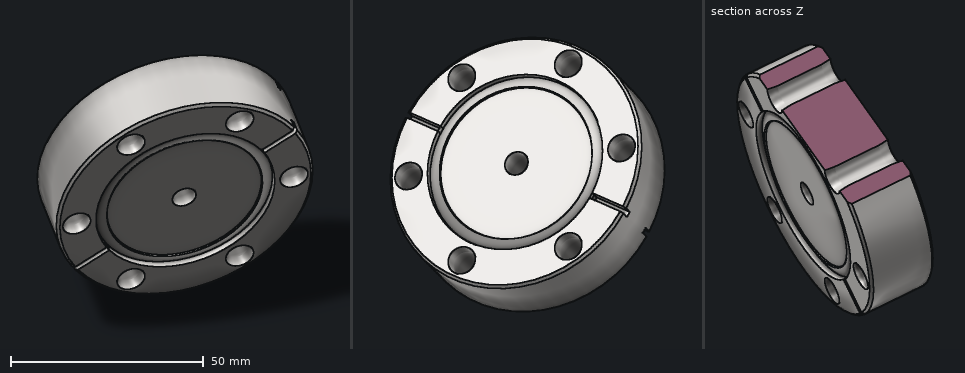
import cadquery as cq
import math

outer_diameter = 69.34
thickness = 19.05
rim_chamfer = 0.75

recess_diameter = 48.3
recess_floor_diameter = 48.05
knife_diameter = 42.1
disc_diameter = 41.7
recess_depth = 1.75
knife_depth = 0.65
disc_depth = 1.1

bore_diameter = 6.4
bolt_count = 6
bolt_circle_diameter = 58.7
bolt_hole_diameter = 6.75
bolt_entry_diameter = 7.5
bolt_taper_depth = 2.9

groove_width = 1.5
groove_depth = 3.45
groove_angle = 30.0
groove_count = 2

outer_radius = outer_diameter / 2


def revolve_about_axis(points):
    """Solid of revolution about X from an outline of (x, radius) points."""
    return cq.Workplane("XZ").polyline(points).close().revolve(360, (0, 0, 0), (1, 0, 0))


def on_both_faces(cutter):
    """Cutter for the X = 0 face joined with its mirror image at the opposite face."""
    return cutter.union(cutter.mirror("YZ", (thickness / 2, 0, 0)))


def flange_body():
    return revolve_about_axis([
        (0, 0),
        (0, outer_radius - rim_chamfer),
        (rim_chamfer, outer_radius),
        (thickness - rim_chamfer, outer_radius),
        (thickness, outer_radius - rim_chamfer),
        (thickness, 0),
    ])


def knife_edge_recess():
    """Recess whose floor rises inward to the knife edge, then drops to the flat centre disc."""
    return revolve_about_axis([
        (0, 0),
        (0, recess_diameter / 2),
        (recess_depth, recess_floor_diameter / 2),
        (knife_depth, knife_diameter / 2),
        (disc_depth, disc_diameter / 2),
        (disc_depth, 0),
    ])


def leak_check_grooves():
    """Radial grooves running from the recess wall out through the rim."""
    groove = (
        cq.Workplane("XY")
        .box(groove_depth, outer_radius, groove_width, centered=(False, False, True))
        .cut(cq.Workplane("YZ").circle(recess_diameter / 2).extrude(groove_depth))
    )
    grooves = cq.Workplane("XY")
    for i in range(groove_count):
        angle = groove_angle + i * 360 / groove_count
        grooves = grooves.add(groove.rotate((0, 0, 0), (1, 0, 0), angle))
    return grooves.combine()


def bolt_hole():
    """Through hole on the axis, widening in a taper towards both faces."""
    entry_radius = bolt_entry_diameter / 2
    hole_radius = bolt_hole_diameter / 2
    return revolve_about_axis([
        (0, 0),
        (0, entry_radius),
        (bolt_taper_depth, hole_radius),
        (thickness - bolt_taper_depth, hole_radius),
        (thickness, entry_radius),
        (thickness, 0),
    ])


def bolt_holes():
    """Bolt holes evenly spaced on the bolt circle."""
    holes = cq.Workplane("XY")
    for i in range(bolt_count):
        angle = math.radians(i * 360 / bolt_count)
        bolt_y = bolt_circle_diameter / 2 * math.cos(angle)
        bolt_z = bolt_circle_diameter / 2 * math.sin(angle)
        holes = holes.add(bolt_hole().translate((0, bolt_y, bolt_z)))
    return holes.combine()


def centre_bore():
    return cq.Workplane("YZ").circle(bore_diameter / 2).extrude(thickness)


result = (
    flange_body()
    .cut(on_both_faces(knife_edge_recess()))
    .cut(on_both_faces(leak_check_grooves()))
    .cut(centre_bore())
    .cut(bolt_holes())
)